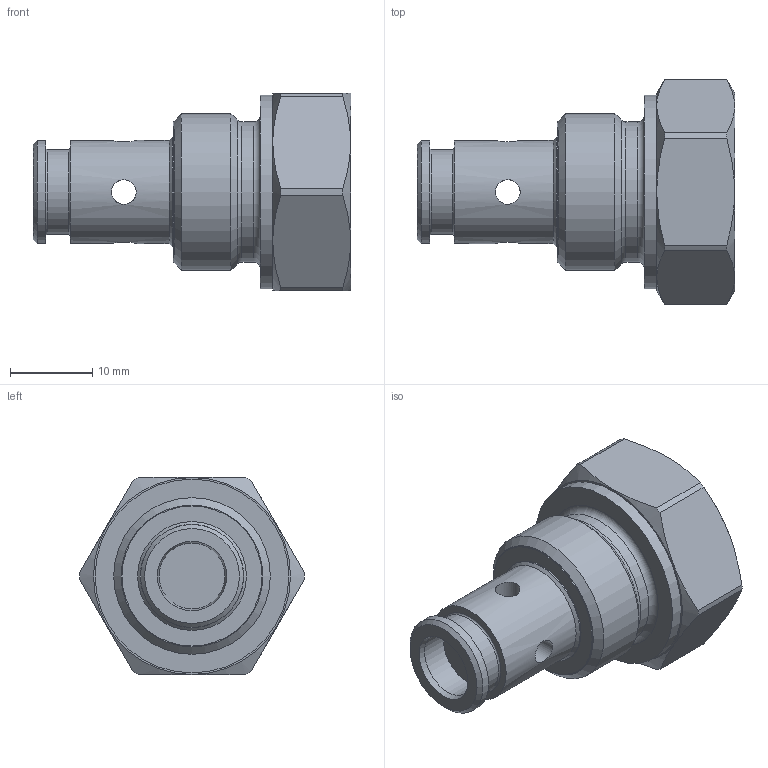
import cadquery as cq
import math


nose_radius = 6.25
nose_chamfer = 0.5
ring_groove_start = 1.5
ring_groove_end = 4.5
ring_groove_radius = 5.15
ring_groove_fillet = 0.2

collar_start = 16.5
collar_radius = 6.6

body_start = 17.0
body_end = 24.0
body_radius = 9.5
body_chamfer = 0.9
body_rim_radius = 8.5
body_rim_length = 0.1
undercut_radius = 8.5
undercut_fillet = 0.8
shoulder_angle = 45.0

flange_radius = 11.75
flange_thickness = 1.5

total_length = 38.55
hex_length = 9.5
hex_sides = 6
hex_across_flats = 24.0
hex_corner_diameter = 27.3
hex_face_radius = 11.95
hex_chamfer_angle = 30.0

bore_radius = 4.0
bore_mouth_radius = 4.2
bore_lead_length = 0.75
bore_depth = 4.0

cross_hole_diameter = 3.0
cross_hole_position = 11.0

hex_start = total_length - hex_length
flange_start = hex_start - flange_thickness


def make_stem():
    """Nose, collar, body, undercut and flange as one turned profile."""
    collar_chamfer = collar_radius - nose_radius
    chamfer_start = body_start + body_rim_length
    undercut_slope_end = body_end + (body_radius - undercut_radius) / math.tan(math.radians(shoulder_angle))

    half_turn = math.radians(shoulder_angle / 2)
    tangent_length = undercut_fillet * math.tan(half_turn)
    blend_centre_x = undercut_slope_end + tangent_length
    blend_centre_r = undercut_radius + undercut_fillet
    slope_run = tangent_length * math.cos(math.radians(shoulder_angle))
    slope_rise = tangent_length * math.sin(math.radians(shoulder_angle))
    blend_mid = (
        blend_centre_x - undercut_fillet * math.sin(half_turn),
        blend_centre_r - undercut_fillet * math.cos(half_turn),
    )

    quarter_offset = 1 - math.sqrt(0.5)
    ring_offset = ring_groove_fillet * quarter_offset
    flange_offset = undercut_fillet * quarter_offset

    profile = (
        cq.Workplane("XY")
        .moveTo(0, 0)
        .lineTo(0, nose_radius - nose_chamfer)
        .lineTo(nose_chamfer, nose_radius)
        .lineTo(ring_groove_start, nose_radius)
        .lineTo(ring_groove_start, ring_groove_radius + ring_groove_fillet)
        .threePointArc(
            (ring_groove_start + ring_offset, ring_groove_radius + ring_offset),
            (ring_groove_start + ring_groove_fillet, ring_groove_radius),
        )
        .lineTo(ring_groove_end - ring_groove_fillet, ring_groove_radius)
        .threePointArc(
            (ring_groove_end - ring_offset, ring_groove_radius + ring_offset),
            (ring_groove_end, ring_groove_radius + ring_groove_fillet),
        )
        .lineTo(ring_groove_end, nose_radius)
        .lineTo(collar_start, nose_radius)
        .lineTo(collar_start + collar_chamfer, collar_radius)
        .lineTo(body_start, collar_radius)
        .lineTo(body_start, body_rim_radius)
        .lineTo(chamfer_start, body_rim_radius)
        .lineTo(chamfer_start, body_radius - body_chamfer)
        .lineTo(chamfer_start + body_chamfer, body_radius)
        .lineTo(body_end, body_radius)
        .lineTo(undercut_slope_end - slope_run, undercut_radius + slope_rise)
        .threePointArc(blend_mid, (blend_centre_x, undercut_radius))
        .lineTo(flange_start - undercut_fillet, undercut_radius)
        .threePointArc(
            (flange_start - flange_offset, undercut_radius + flange_offset),
            (flange_start, undercut_radius + undercut_fillet),
        )
        .lineTo(flange_start, flange_radius)
        .lineTo(hex_start, flange_radius)
        .lineTo(hex_start, 0)
        .close()
    )
    return profile.revolve(360, (0, 0, 0), (1, 0, 0))


def make_hex_head():
    """Hexagon with flats facing +Z and -Z, turned corners and chamfered ends."""
    corner_radius = hex_corner_diameter / 2
    sharp_corner_diameter = hex_across_flats / math.cos(math.pi / hex_sides)
    chamfer_length = (corner_radius - hex_face_radius) * math.tan(math.radians(hex_chamfer_angle))
    prism = (
        cq.Workplane("YZ")
        .workplane(offset=hex_start)
        .polygon(hex_sides, sharp_corner_diameter)
        .extrude(hex_length)
    )
    turned_blank = (
        cq.Workplane("XY")
        .moveTo(hex_start, 0)
        .lineTo(hex_start, hex_face_radius)
        .lineTo(hex_start + chamfer_length, corner_radius)
        .lineTo(total_length - chamfer_length, corner_radius)
        .lineTo(total_length, hex_face_radius)
        .lineTo(total_length, 0)
        .close()
        .revolve(360, (0, 0, 0), (1, 0, 0))
    )
    return prism.intersect(turned_blank)


def make_bore():
    """Flat-bottomed blind bore with a tapered mouth."""
    return (
        cq.Workplane("XY")
        .moveTo(0, 0)
        .lineTo(0, bore_mouth_radius)
        .lineTo(bore_lead_length, bore_radius)
        .lineTo(bore_depth, bore_radius)
        .lineTo(bore_depth, 0)
        .close()
        .revolve(360, (0, 0, 0), (1, 0, 0))
    )


def make_cross_hole(plane):
    """Hole through the nose along the normal of the given plane."""
    return (
        cq.Workplane(plane)
        .center(cross_hole_position, 0)
        .circle(cross_hole_diameter / 2)
        .extrude(2 * nose_radius, both=True)
    )


result = make_stem().union(make_hex_head()).cut(make_bore())
for hole_plane in ("XY", "XZ"):
    result = result.cut(make_cross_hole(hole_plane))